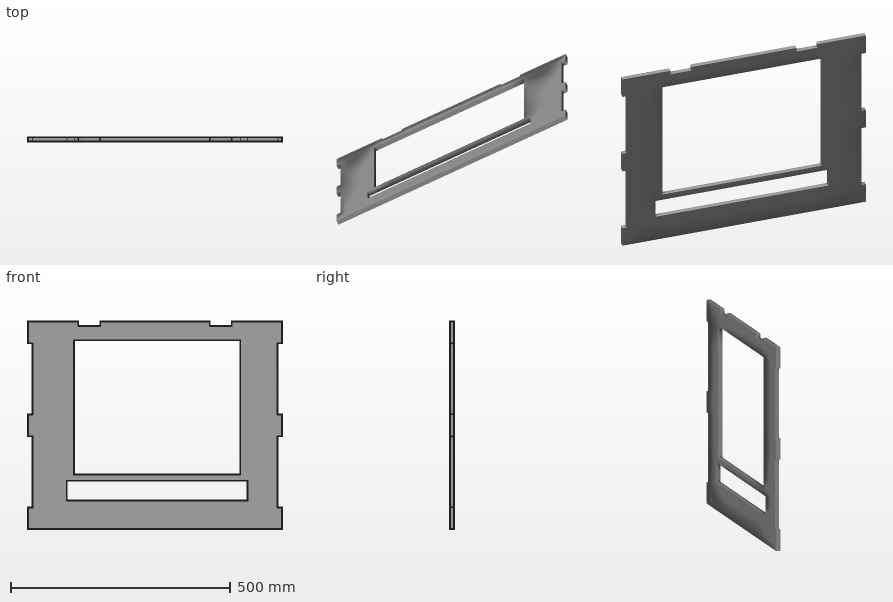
import cadquery as cq

width = 580.0
thickness = 10.0
height = 474.0

notch_depth = thickness
tab_length = 50.0
side_notch_length = (height - 3 * tab_length) / 2
side_notch_offset = (tab_length + side_notch_length) / 2
top_notch_length = tab_length
top_notch_offset = 150.0

opening_center_x = 5.0
window_width = 379.0
window_height = 305.75
window_top_margin = 43.0
slot_width = 412.0
slot_height = 45.0
slot_bottom_margin = 65.5


def block(size_x, size_z, center_x, center_z):
    """Box through the full panel thickness."""
    return cq.Workplane("XY").box(size_x, thickness, size_z).translate((center_x, 0, center_z))


def cut_top_notches(panel):
    """Two notches in the top edge, mirrored about the panel centre."""
    center_z = height - notch_depth / 2
    for side in (-1, 1):
        panel = panel.cut(block(top_notch_length, notch_depth, side * top_notch_offset, center_z))
    return panel


def cut_side_notches(panel):
    """Two notches per side edge, leaving three equal tabs."""
    for side in (-1, 1):
        center_x = side * (width - notch_depth) / 2
        for level in (-1, 1):
            center_z = height / 2 + level * side_notch_offset
            panel = panel.cut(block(notch_depth, side_notch_length, center_x, center_z))
    return panel


def cut_window(panel):
    """Large rectangular opening in the upper part of the panel."""
    center_z = height - window_top_margin - window_height / 2
    return panel.cut(block(window_width, window_height, opening_center_x, center_z))


def cut_slot(panel):
    """Long low opening below the window."""
    center_z = slot_bottom_margin + slot_height / 2
    return panel.cut(block(slot_width, slot_height, opening_center_x, center_z))


result = block(width, height, 0, height / 2)
result = cut_top_notches(result)
result = cut_side_notches(result)
result = cut_window(result)
result = cut_slot(result)